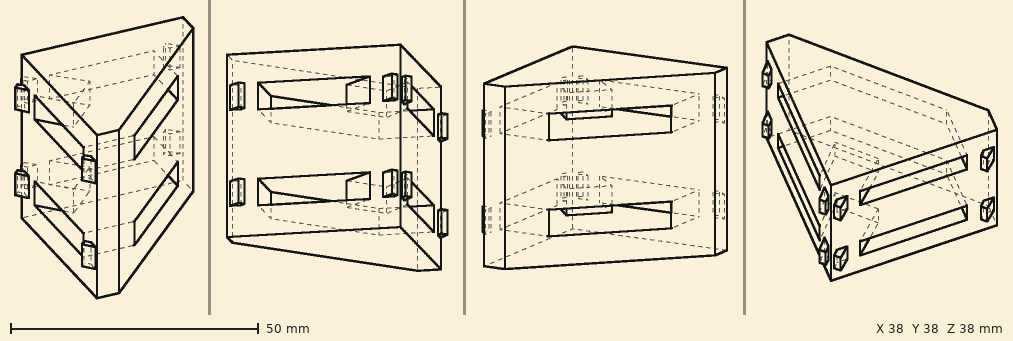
import cadquery as cq

height = 38.0
leg = 36.0
tip_width = 4.9

window_start = 6.27
window_end = 29.5
window_height = 5.55
level_centre = 9.0

post_end_long = 12.5
post_end_short = 5.78

tab_height = 5.1
tab_depth = height - leg
tab_spacing = 31.75
tab_root_start = 1.3
tab_root_end = 3.57
tab_heel_offset = 0.3
tab_heel_depth = 1.03
tab_toe_offset = 1.3
tab_embed = 0.38

levels = (level_centre, height - level_centre)


def prism(points, bottom, thickness):
    """Extrude a plan outline upward from the given height."""
    return cq.Workplane("XY", origin=(0, 0, bottom)).polyline(points).close().extrude(thickness)


def mirrored(points):
    """Reflect plan points across the diagonal of the corner."""
    return [(y, x) for x, y in points]


def make_body():
    outline = [(0, 0), (leg, 0), (leg, tip_width), (tip_width, leg), (0, leg)]
    return prism(outline, 0, height)


def make_window(level):
    """Opening from both leg faces through to the sloping back, around the corner post."""
    half = [
        (post_end_long, post_end_short),
        (window_start, 0),
        (window_end, 0),
        (window_end, window_end),
    ]
    outline = half + mirrored(half[:-1])[::-1]
    return prism(outline, level - window_height / 2, window_height)


def tab_outline(offset):
    """Plan of one tab on the Y = 0 face, shifted along that face."""
    points = [
        (tab_root_start, 0),
        (tab_heel_offset, -tab_heel_depth),
        (tab_toe_offset, -tab_depth),
        (tab_root_end, 0),
        (tab_root_end, tab_embed),
        (tab_root_start, tab_embed),
    ]
    return [(x + offset, y) for x, y in points]


result = make_body()
for level in levels:
    result = result.cut(make_window(level))
    for offset in (0, tab_spacing):
        outline = tab_outline(offset)
        for plan in (outline, mirrored(outline)):
            result = result.union(prism(plan, level - tab_height / 2, tab_height))